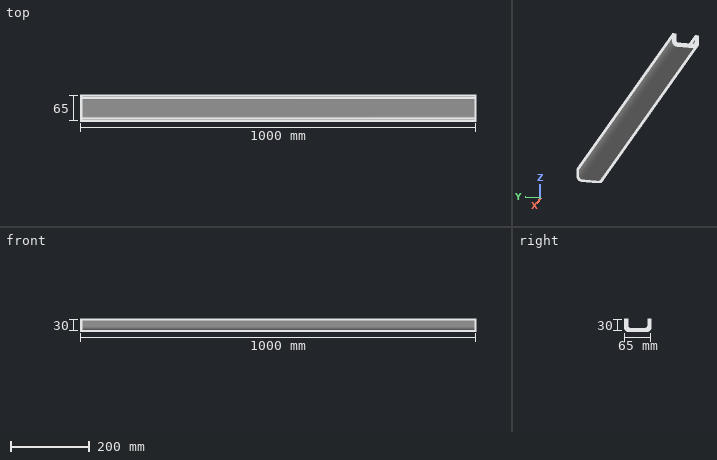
import cadquery as cq

length = 1000.0
width = 65.0
height = 30.0
thickness = 6.0
inner_bend_radius = 6.0
outer_bend_radius = inner_bend_radius + thickness


def rounded_bar(bar_width, bottom, bend_radius):
    """Full-length bar from the given bottom to the rim, with rounded lower long edges."""
    return (
        cq.Workplane("XY")
        .box(length, bar_width, height - bottom, centered=(True, True, False))
        .translate((0, 0, bottom))
        .edges("|X and <Z")
        .fillet(bend_radius)
    )


outer_bar = rounded_bar(width, 0.0, outer_bend_radius)
channel_space = rounded_bar(width - 2 * thickness, thickness, inner_bend_radius)

result = outer_bar.cut(channel_space)